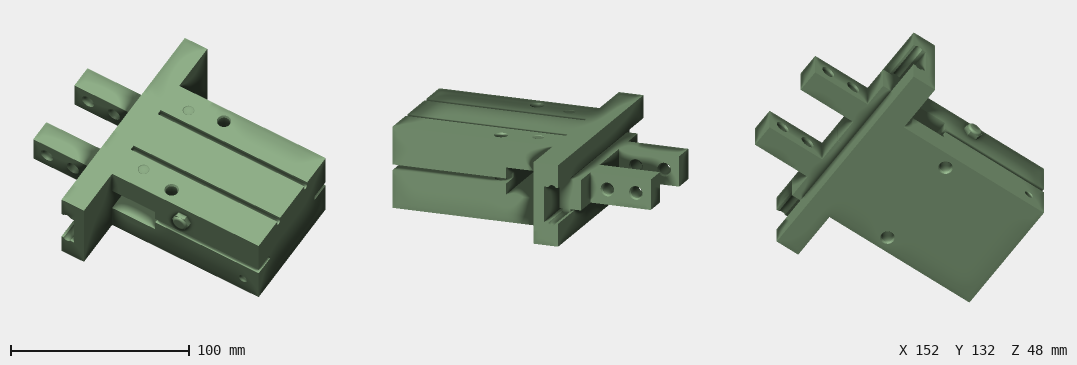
import cadquery as cq
import math


total_length = 152.0
rail_width = 132.0
height = 48.0

rail_front_x = 41.2
rail_back_x = 56.0
channel_floor_x = 49.5
channel_half_height = 10.5

ridge_radius = 2.5
ridge_x = 44.8
ridge_z = 9.5

jaw_height = 18.0
jaw_base_width = 43.6
jaw_gap = 0.3
jaw_base_front_x = 36.0
jaw_back_x = 49.1
finger_width = 14.0
finger_hole_xs = (9.0, 26.0)
jaw_center_y = (jaw_base_width + jaw_gap) / 2

thread_hole_diameter = 6.7
countersink_diameter = 8.0
countersink_angle = 60

housing_width = 71.7
window_length = 28.3
window_height = 16.1
slot_width = 3.2
side_slot_depth = 12.2
top_slot_y = 14.5
top_slot_depth = 4.0
mount_hole_x = 90.1
mount_hole_y = 28.0
pin_recess_x = 69.3
pin_recess_y = 24.0
pin_recess_diameter = 6.5
pin_recess_depth = 0.3
pin_recess_taper = 45
window_end_x = rail_back_x + window_length
housing_side_y = -housing_width / 2

port_x = 141.7
port_z = -14.0
port_diameter = 4.5
port_mouth_diameter = 5.3
port_depth = 3.0
orifice_diameter = 0.6
orifice_length = 3.0
plug_x = 102.3
plug_z = 14.1
plug_across_flats = 9.1
hexagon_height = 2.9
dome_height = 1.4
dome_rounding = 1.34


def block(x_start, x_end, width, block_height):
    """A box between two X positions, centred on Y = 0 and Z = 0."""
    length = x_end - x_start
    return cq.Workplane("XY").box(length, width, block_height).translate((x_start + length / 2, 0, 0))


def ridge_rods(length):
    """Two round rods along Y, one above and one below the middle plane."""
    rod_centers = [(ridge_x, ridge_z), (ridge_x, -ridge_z)]
    return cq.Workplane("XZ").pushPoints(rod_centers).circle(ridge_radius).extrude(length / 2, both=True)


def thread_hole_cutter(length):
    """A hole along Z, centred on the origin, that widens to the countersink at both ends."""
    hole_radius = thread_hole_diameter / 2
    mouth_radius = countersink_diameter / 2
    end = length / 2
    cone_depth = (mouth_radius - hole_radius) / math.tan(math.radians(countersink_angle / 2))
    cone_end = end - cone_depth
    return (
        cq.Workplane("XZ")
        .moveTo(0, -end)
        .lineTo(mouth_radius, -end)
        .lineTo(hole_radius, -cone_end)
        .lineTo(hole_radius, cone_end)
        .lineTo(mouth_radius, end)
        .lineTo(0, end)
        .close()
        .revolve(360, (0, 0, 0), (0, 1, 0))
    )


def make_jaw(center_y):
    """A jaw: a base that slides in the rail and a finger with two threaded holes."""
    base = block(jaw_base_front_x, jaw_back_x, jaw_base_width, jaw_height)
    finger = block(0, jaw_base_front_x, finger_width, jaw_height)
    jaw = base.union(finger).union(ridge_rods(jaw_base_width))
    hole = thread_hole_cutter(finger_width).rotate((0, 0, 0), (1, 0, 0), 90)
    for hole_x in finger_hole_xs:
        jaw = jaw.cut(hole.translate((hole_x, 0, 0)))
    return jaw.translate((0, center_y, 0))


def make_rail():
    """The guide rail with its channel and the two round grooves for the jaw ridges."""
    rail = block(rail_front_x, rail_back_x, rail_width, height)
    channel = block(rail_front_x, channel_floor_x, rail_width, 2 * channel_half_height)
    return rail.cut(channel).cut(ridge_rods(rail_width))


def top_slot_cutter(center_y):
    """A round-bottomed slot along X, open at the top face."""
    half_width = slot_width / 2
    slot_top = height / 2
    slot_bottom = slot_top - top_slot_depth
    return (
        cq.Workplane("YZ", origin=(rail_back_x, center_y, 0))
        .moveTo(-half_width, slot_top)
        .lineTo(-half_width, slot_bottom + half_width)
        .threePointArc((0, slot_bottom), (half_width, slot_bottom + half_width))
        .lineTo(half_width, slot_top)
        .close()
        .extrude(total_length - rail_back_x)
    )


def make_plug():
    """The hex plug, standing along -Y, with a round dome on its outer end."""
    across_corners = plug_across_flats / math.cos(math.pi / 6)
    side_plane = cq.Workplane("XZ", origin=(plug_x, housing_side_y, plug_z))
    hexagon = side_plane.polygon(6, across_corners).extrude(hexagon_height)
    dome = side_plane.circle(plug_across_flats / 2).extrude(hexagon_height + dome_height)
    return hexagon.union(dome.faces("<Y").edges().fillet(dome_rounding))


def port_cutter():
    """A chamfered blind hole along Y with a fine orifice in the middle of its floor."""
    radius = port_diameter / 2
    mouth_radius = port_mouth_diameter / 2
    orifice_radius = orifice_diameter / 2
    return (
        cq.Workplane("XY")
        .lineTo(mouth_radius, 0)
        .lineTo(radius, mouth_radius - radius)
        .lineTo(radius, port_depth)
        .lineTo(orifice_radius, port_depth)
        .lineTo(orifice_radius, port_depth + orifice_length)
        .lineTo(0, port_depth + orifice_length)
        .close()
        .revolve(360, (0, 0, 0), (0, 1, 0))
        .translate((port_x, housing_side_y, port_z))
    )


def make_housing():
    """The housing with its rail, window, slots, holes, port and plug."""
    body = block(rail_back_x, total_length, housing_width, height)
    body = body.cut(block(rail_back_x, window_end_x, housing_width, window_height))

    slot_core_width = housing_width - 2 * side_slot_depth
    side_slots = block(window_end_x, total_length, housing_width, slot_width)
    side_slots = side_slots.cut(block(window_end_x, total_length, slot_core_width, slot_width))
    body = body.cut(side_slots)

    mount_hole = thread_hole_cutter(height)
    pin_circle = cq.Workplane("XY").circle(pin_recess_diameter / 2)
    pin_recess = pin_circle.extrude(-pin_recess_depth, taper=pin_recess_taper)
    for side in (-1, 1):
        body = body.cut(top_slot_cutter(side * top_slot_y))
        body = body.cut(mount_hole.translate((mount_hole_x, side * mount_hole_y, 0)))
        body = body.cut(pin_recess.translate((pin_recess_x, side * pin_recess_y, height / 2)))

    return body.cut(port_cutter()).union(make_rail()).union(make_plug())


housing = make_housing()
jaws = [make_jaw(side * jaw_center_y) for side in (-1, 1)]

result = cq.Compound.makeCompound([housing.val(), *[jaw.val() for jaw in jaws]])